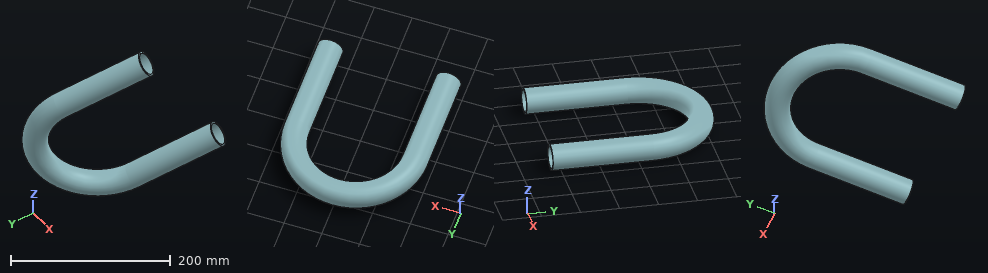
import cadquery as cq

overall_width = 189.8
overall_length = 224.5
outer_diameter = 33.7
inner_diameter = 28.7

bend_radius = (overall_width - outer_diameter) / 2
leg_length = overall_length - overall_width / 2


def u_bar(diameter):
    """Solid round bar that follows the U-shaped centreline."""
    leg_section = (
        cq.Workplane("XZ")
        .pushPoints([(-bend_radius, 0), (bend_radius, 0)])
        .circle(diameter / 2)
    )
    legs = leg_section.extrude(leg_length)
    bend = (
        cq.Workplane("XZ")
        .center(bend_radius, 0)
        .circle(diameter / 2)
        .revolve(180, (-bend_radius, 0), (-bend_radius, 1))
    )
    return legs.union(bend)


result = u_bar(outer_diameter).cut(u_bar(inner_diameter))